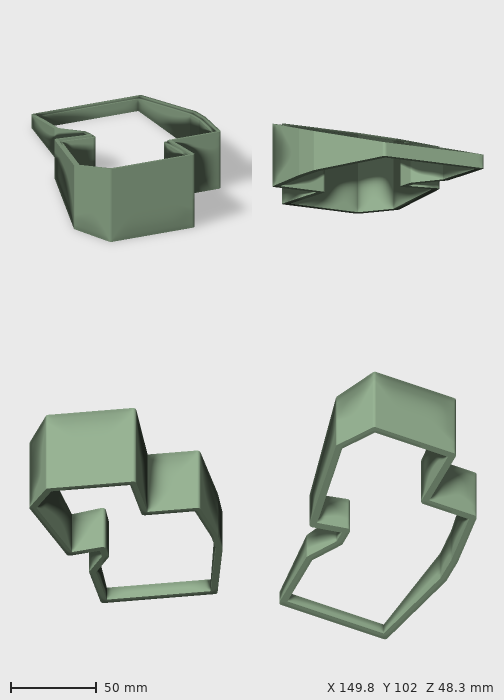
import cadquery as cq
import math

length = 149.8
width = 102.0
height = 48.3
slope_angle = 15.0

wall = 4.0
half_wall = wall / 2
ledge_depth = 1.3

left = half_wall
right = length - half_wall
left_front = 22.0
notch_x = 108.2
notch_y = 65.0
back = width - half_wall
step_y = 33.0

centreline = [
    (left, left_front),
    (left, 87.2),
    (57.0, back),
    (72.8, back),
    (notch_x, 96.0),
    (notch_x, notch_y),
    (right, notch_y),
    (right, 15.3),
    (126.9, half_wall),
    (65.0, 13.0),
    (68.6, step_y),
    (58.3, step_y),
    (40.0, left_front),
]


def prism(offset):
    """Full-height prism on the centreline, grown or shrunk with round corners."""
    outline = cq.Workplane("XY").polyline(centreline).close()
    if offset:
        outline = outline.offset2D(offset, "arc")
    return outline.extrude(height)


def below_slope(drop):
    """Wedge below the sloping plane, lowered vertically by drop."""
    high = height - drop
    low = high - length * math.tan(math.radians(slope_angle))
    profile = [(0, 0), (length, 0), (length, high), (0, low)]
    return cq.Workplane("XZ").polyline(profile).close().extrude(-length)


rim = prism(half_wall).cut(prism(0)).intersect(below_slope(0))
ledge = prism(0).cut(prism(-half_wall)).intersect(below_slope(ledge_depth))

result = rim.union(ledge)